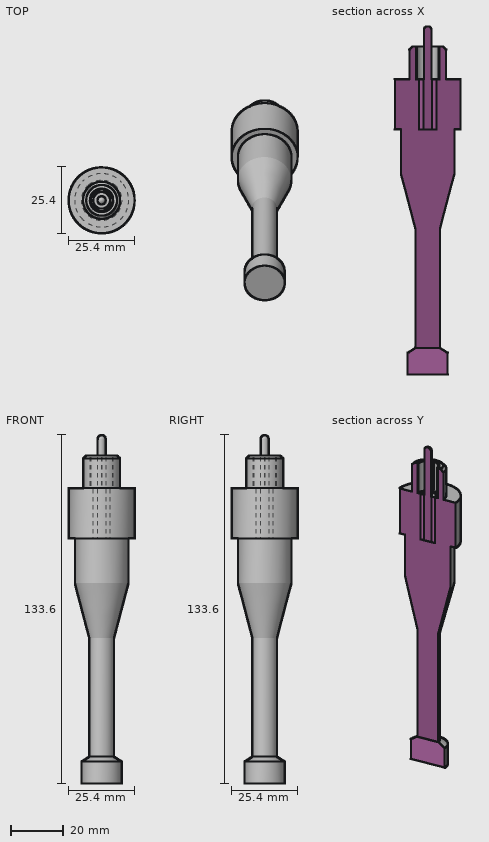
import cadquery as cq

cap_diameter = 15.49
shaft_diameter = 9.53
body_diameter = 20.62
collar_diameter = 25.4
nose_diameter = 14.28
nose_rim_diameter = 11.81
sleeve_outer_diameter = 8.91
sleeve_inner_diameter = 8.31
insulator_diameter = 6.45
pin_diameter = 3.17

cap_shoulder_z = 8.4
cap_top_z = 10.3
cone_bottom_z = 55.7
cone_top_z = 76.7
collar_bottom_z = 94.0
collar_top_z = 113.2
nose_chamfer_z = 124.6
nose_top_z = 125.8
pin_top_z = 133.59

bore_floor_z = collar_top_z
insulator_bottom_z = collar_bottom_z

slot_width = 0.2
slot_angles = (0, 90)
sleeve_base_height = 1.0


def turned(profile):
    """Solid of revolution about Z from (radius, height) points."""
    return cq.Workplane("XZ").polyline(profile).close().revolve(360, (0, 0), (0, 1))


def tube(outer_diameter, inner_diameter, bottom, top):
    """Straight ring about Z between two heights."""
    ring = cq.Workplane("XY", origin=(0, 0, bottom)).circle(outer_diameter / 2).circle(inner_diameter / 2)
    return ring.extrude(top - bottom)


def make_cap():
    """End cap whose conical shoulder runs in to the shaft."""
    return turned([
        (0, 0),
        (cap_diameter / 2, 0),
        (cap_diameter / 2, cap_shoulder_z),
        (shaft_diameter / 2, cap_top_z),
        (0, cap_top_z),
    ])


def make_housing():
    """Shaft, cone, body, collar and hollow nose, with a seat for the insulator."""
    return turned([
        (0, cap_top_z),
        (shaft_diameter / 2, cap_top_z),
        (shaft_diameter / 2, cone_bottom_z),
        (body_diameter / 2, cone_top_z),
        (body_diameter / 2, collar_bottom_z),
        (collar_diameter / 2, collar_bottom_z),
        (collar_diameter / 2, collar_top_z),
        (nose_diameter / 2, collar_top_z),
        (nose_diameter / 2, nose_chamfer_z),
        (nose_rim_diameter / 2, nose_top_z),
        (sleeve_outer_diameter / 2, nose_top_z),
        (sleeve_outer_diameter / 2, bore_floor_z),
        (insulator_diameter / 2, bore_floor_z),
        (insulator_diameter / 2, insulator_bottom_z),
        (0, insulator_bottom_z),
    ])


def make_sleeve():
    """Thin liner of the nose bore, slotted into four fingers above a closed base ring."""
    liner = tube(sleeve_outer_diameter, sleeve_inner_diameter, bore_floor_z, nose_top_z)
    slot_bottom_z = bore_floor_z + sleeve_base_height
    for angle in slot_angles:
        slot = cq.Workplane("XY", origin=(0, 0, slot_bottom_z)).transformed(rotate=(0, 0, angle))
        liner = liner.cut(slot.rect(nose_diameter, slot_width).extrude(nose_top_z - slot_bottom_z))
    return liner


def make_insulator():
    """Ring that holds the pin in the housing."""
    return tube(insulator_diameter, pin_diameter, insulator_bottom_z, bore_floor_z)


def make_pin():
    """Straight pin with a hemispherical tip."""
    radius = pin_diameter / 2
    dome_z = pin_top_z - radius
    profile = (
        cq.Workplane("XZ")
        .moveTo(0, insulator_bottom_z)
        .lineTo(radius, insulator_bottom_z)
        .lineTo(radius, dome_z)
        .radiusArc((0, pin_top_z), -radius)
        .close()
    )
    return profile.revolve(360, (0, 0), (0, 1))


cap = make_cap()
housing = make_housing()
sleeve = make_sleeve()
insulator = make_insulator()
pin = make_pin()

result = cq.Compound.makeCompound([
    cap.val(),
    housing.val(),
    sleeve.val(),
    insulator.val(),
    pin.val(),
])